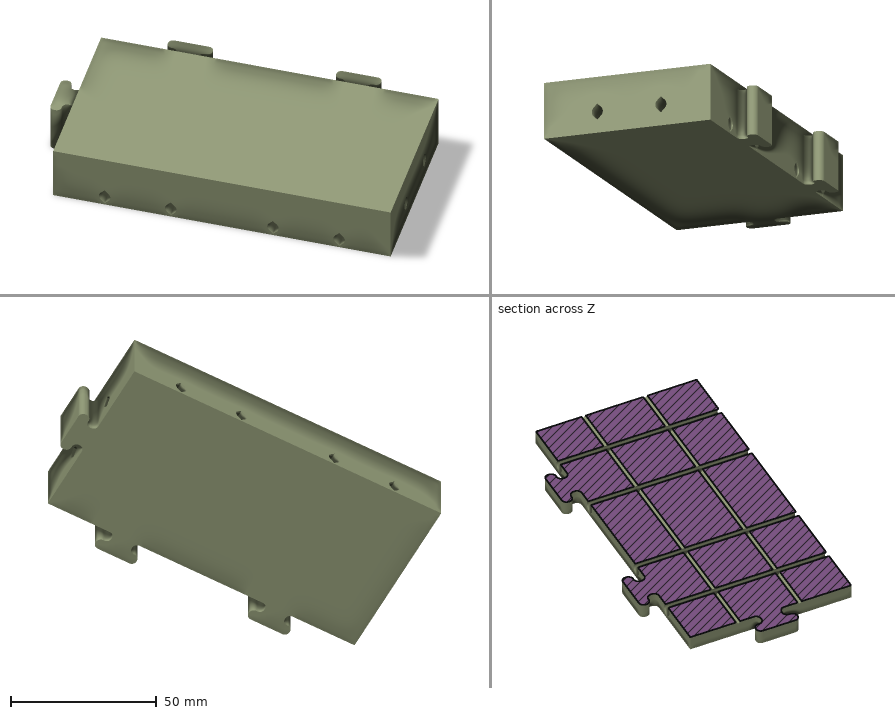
import cadquery as cq
import math

overall_length = 128.0
overall_width = 69.5
block_height = 20.0

tab_width = 16.0
tab_height = 17.5
tab_reach = 7.9
tab_thickness = tab_reach / 2
neck_width = tab_width / 2
tab_round = 1.8

block_length = overall_length - tab_reach
block_width = overall_width - tab_reach
left_face = -block_length / 2
back_face = block_width / 2
tab_pitch = 59.9
side_tab_inset = 30.1
back_tab_xs = [-tab_pitch / 2, tab_pitch / 2]
side_tab_y = back_face - side_tab_inset

hole_diameter = 4.1
hole_offset = 11.8
cross_hole_z = 3.5
long_hole_z = 7.5

inlay_depth = 1.0
baseline_y = -11.4
letter_g_x = -37.9
letter_h_x = 19.7


def make_tab():
    """I-shaped post: the neck and head stand out along +Y, the equal root flange sinks into the block."""
    neck_length = tab_reach - tab_thickness
    neck = cq.Workplane("XY").box(neck_width, neck_length, tab_height, centered=(True, False, False))
    flange = cq.Workplane("XY").box(tab_width, tab_thickness, tab_height, centered=(True, False, False))
    head = flange.translate((0, neck_length, 0))
    root = flange.translate((0, -tab_thickness, 0))
    return neck.union(head).union(root).edges("|Z").fillet(tab_round)


def make_hole(length):
    """Hole shape along Y: a circle joined with the square around it that stands on its corner."""
    radius = hole_diameter / 2
    tip = radius * math.sqrt(2)
    touch = radius / math.sqrt(2)
    return (
        cq.Workplane("XZ")
        .moveTo(0, tip)
        .lineTo(touch, touch)
        .threePointArc((radius, 0), (touch, -touch))
        .lineTo(0, -tip)
        .lineTo(-touch, -touch)
        .threePointArc((-radius, 0), (-touch, touch))
        .close()
        .extrude(length / 2, both=True)
    )


def place_letter(letter, x):
    """Moves a letter onto the shared baseline, flush with the top face."""
    return letter.translate((x, baseline_y, block_height - inlay_depth))


def make_letter_g():
    """Letter g standing on the X axis, with the left of its bowl on the Y axis."""
    stem_left = 12.0
    stem_right = 15.1
    x_height = 17.8
    serif_left = 12.4
    notch_y = 15.6
    tail_start_y = 0.4
    bowl_curve = [(6.9, 18.0), (2.8, 16.8), (0, 8.3), (2.0, 1.8), (6.9, -0.4), (stem_left, 2.0)]
    tail_upper_curve = [(11.1, -2.4), (7.0, -4.2), (3.5, -3.5)]
    tail_tip = (2.3, -5.9)
    tail_lower_curve = [(6.8, -6.9), (12.9, -5.0), (stem_right, 0)]
    opening_top = 13.0
    opening_curve = [(7.5, 15.5), (3.2, 8.7), (7.5, 2.3), (stem_left, 4.7)]
    outline = (
        cq.Workplane("XY")
        .moveTo(stem_right, x_height)
        .lineTo(serif_left, x_height)
        .lineTo(stem_left, notch_y)
        .spline(bowl_curve, includeCurrent=True)
        .lineTo(stem_left, tail_start_y)
        .spline(tail_upper_curve, includeCurrent=True)
        .lineTo(*tail_tip)
        .spline(tail_lower_curve, includeCurrent=True)
        .close()
        .extrude(inlay_depth)
    )
    bowl_opening = (
        cq.Workplane("XY")
        .moveTo(stem_left, opening_top)
        .spline(opening_curve, includeCurrent=True)
        .close()
        .extrude(inlay_depth)
    )
    return outline.cut(bowl_opening)


def make_letter_h():
    """Letter h standing on the X axis, with the left of its foot on the Y axis."""
    serif = 2.3
    stem_left = 2.7
    stem_right = 5.8
    leg_left = 13.5
    leg_right = 17.0
    left_foot_end = 8.5
    right_foot_start = 10.7
    right_foot_end = 19.7
    ascender = 25.5
    arch_spring = 13.3
    arch_crown = (10.0, 15.5)
    shoulder_start = 12.2
    shoulder_curve = [(15.4, 16.4), (10.7, 17.9), (stem_right, 15.4)]
    return (
        cq.Workplane("XY")
        .moveTo(0, 0)
        .lineTo(left_foot_end, 0)
        .lineTo(left_foot_end, serif)
        .lineTo(stem_right, serif)
        .lineTo(stem_right, arch_spring)
        .threePointArc(arch_crown, (leg_left, arch_spring))
        .lineTo(leg_left, serif)
        .lineTo(right_foot_start, serif)
        .lineTo(right_foot_start, 0)
        .lineTo(right_foot_end, 0)
        .lineTo(right_foot_end, serif)
        .lineTo(leg_right, serif)
        .lineTo(leg_right, shoulder_start)
        .spline(shoulder_curve, includeCurrent=True)
        .lineTo(stem_right, ascender)
        .lineTo(0, ascender)
        .lineTo(0, ascender - serif)
        .lineTo(stem_left, ascender - serif)
        .lineTo(stem_left, serif)
        .lineTo(0, serif)
        .close()
        .extrude(inlay_depth)
    )


def make_block(inlays):
    """Block with its tabs and through holes, recessed for the letter inlays."""
    block = cq.Workplane("XY").box(block_length, block_width, block_height, centered=(True, True, False))

    tab = make_tab()
    for x in back_tab_xs:
        block = block.union(tab.translate((x, back_face, 0)))
    side_tab = tab.rotate((0, 0, 0), (0, 0, 1), 90)
    block = block.union(side_tab.translate((left_face, side_tab_y, 0)))

    cross_hole = make_hole(block_width)
    long_hole = make_hole(block_length).rotate((0, 0, 0), (0, 0, 1), 90)
    for offset in [-hole_offset, hole_offset]:
        for x in back_tab_xs:
            block = block.cut(cross_hole.translate((x + offset, 0, cross_hole_z)))
        block = block.cut(long_hole.translate((0, side_tab_y + offset, long_hole_z)))

    for inlay in inlays:
        block = block.cut(inlay)
    return block


letter_g = place_letter(make_letter_g(), letter_g_x)
letter_h = place_letter(make_letter_h(), letter_h_x)
block = make_block([letter_g, letter_h])

result = cq.Compound.makeCompound([block.val(), letter_g.val(), letter_h.val()])